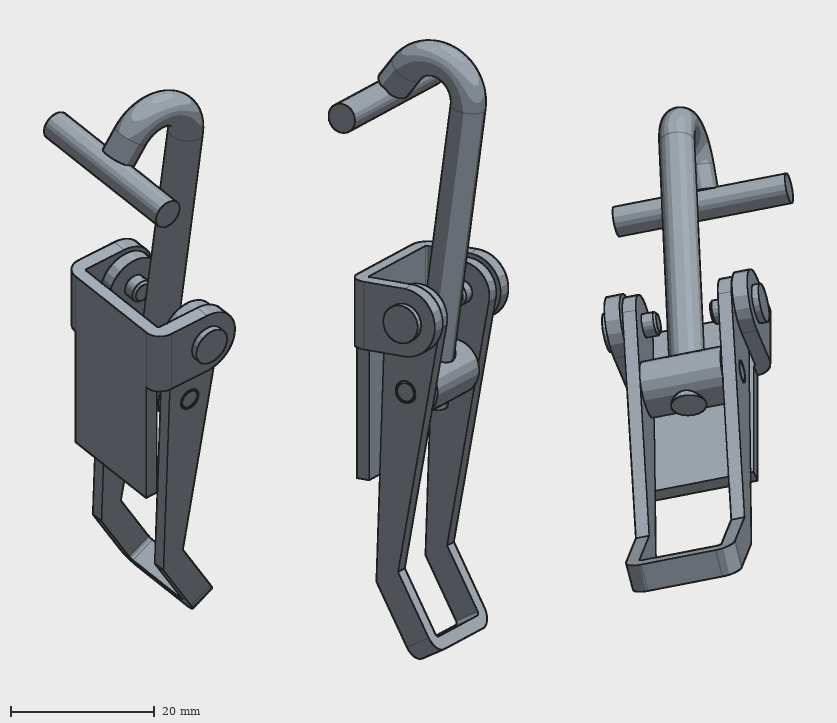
import cadquery as cq
import math


OVERALL_HEIGHT = 88.6
HOOK_TOP_Z = 38.1
TIP_Z = HOOK_TOP_Z - OVERALL_HEIGHT

SHEET = 1.95
BRACKET_WIDTH = 20.7
CHEEK_THICKNESS = 2.2
BRACKET_BEND_RADIUS = 2.5
CHEEK_RADIUS = 5.0
BRACKET_FRONT_Y = -8.95
PLATE_BOTTOM_Z = -24.9

LEVER_WIDTH = BRACKET_WIDTH - 2 * BRACKET_BEND_RADIUS
LEVER_GAP = LEVER_WIDTH - 2 * SHEET
LEVER_EYE_RADIUS = 4.4
LEVER_BEND_RADIUS = 2.5
CRANK_Y = -5.85
CRANK_Z = -39.5
CRANK_ANGLE = 29.0
CRANK_DEPTH = 4.0

PIN_HEAD_DIAMETER = 5.5
PIN_HEAD_HEIGHT = 1.0
PIN_SHAFT_DIAMETER = 3.4
PIN_INNER_X = 3.9
PIN_CHAMFER = 0.35

BARREL_Y = -1.15
BARREL_Z = -11.1
BARREL_RADIUS = 4.0
BARREL_LENGTH = 11.7
JOURNAL_DIAMETER = 3.2
JOURNAL_CHAMFER = 0.3
COUNTERSINK_DIAMETER = 6.6

ROD_DIAMETER = 5.0
ROD_TILT = 7.8
HOOK_RADIUS = 5.5
HOOK_TURN = 150.5
ROD_TAIL = 3.5
CROSSBAR_OFFSET = 5.5
CROSSBAR_DIAMETER = 4.25
CROSSBAR_LENGTH = 25.0

CLEAR = 88.6


def x_cylinder(diameter, x_start, x_end, y=0.0, z=0.0):
    """Cylinder along X between two X positions."""
    plane = cq.Workplane("YZ", origin=(x_start, y, z))
    return plane.circle(diameter / 2).extrude(x_end - x_start)


def tangent_point(radius, y, z, side):
    """Point where a line from (y, z) touches a circle about the origin; side +1 or -1 picks the line."""
    angle = math.atan2(z, y) + side * math.acos(radius / math.hypot(y, z))
    return radius * math.cos(angle), radius * math.sin(angle)


def make_bracket():
    inner_radius = BRACKET_BEND_RADIUS - CHEEK_THICKNESS
    depth = CHEEK_RADIUS - BRACKET_FRONT_Y
    mid_y = (CHEEK_RADIUS + BRACKET_FRONT_Y) / 2

    outer = cq.Workplane("XY").center(0, mid_y).rect(BRACKET_WIDTH, depth).extrude(CHEEK_RADIUS, both=True)
    outer = outer.edges("|Z and <Y").fillet(BRACKET_BEND_RADIUS)
    inner = cq.Workplane("XY").center(0, mid_y + SHEET)
    inner = inner.rect(BRACKET_WIDTH - 2 * CHEEK_THICKNESS, depth).extrude(CHEEK_RADIUS, both=True)
    inner = inner.edges("|Z and <Y").fillet(inner_radius)
    channel = outer.cut(inner)

    side = (
        cq.Workplane("YZ")
        .moveTo(BRACKET_FRONT_Y, -CHEEK_RADIUS)
        .lineTo(0, -CHEEK_RADIUS)
        .threePointArc((CHEEK_RADIUS, 0), (0, CHEEK_RADIUS))
        .lineTo(BRACKET_FRONT_Y, CHEEK_RADIUS)
        .close()
        .extrude(CLEAR, both=True)
    )
    channel = channel.intersect(side)

    plate = cq.Workplane("XY").box(
        LEVER_WIDTH, SHEET, CHEEK_RADIUS - PLATE_BOTTOM_Z, centered=(True, False, False)
    ).translate((0, BRACKET_FRONT_Y, PLATE_BOTTOM_Z))

    pivot_hole = x_cylinder(PIN_SHAFT_DIAMETER, -CLEAR, CLEAR)
    return channel.union(plate).cut(pivot_hole)


def make_lever():
    sine = math.sin(math.radians(CRANK_ANGLE))
    cosine = math.cos(math.radians(CRANK_ANGLE))
    back_y = CRANK_Y + CRANK_DEPTH * cosine
    back_z = CRANK_Z + CRANK_DEPTH * sine
    crank_length = (CRANK_Z - TIP_Z) / cosine
    tip_y = CRANK_Y + crank_length * sine

    profile = (
        cq.Workplane("YZ")
        .moveTo(tip_y, TIP_Z)
        .lineTo(CRANK_Y, CRANK_Z)
        .lineTo(*tangent_point(LEVER_EYE_RADIUS, CRANK_Y, CRANK_Z, -1))
        .threePointArc((0, LEVER_EYE_RADIUS), tangent_point(LEVER_EYE_RADIUS, back_y, back_z, 1))
        .lineTo(back_y, back_z)
        .lineTo(tip_y + CRANK_DEPTH * cosine, TIP_Z + CRANK_DEPTH * sine)
        .close()
        .extrude(LEVER_WIDTH / 2, both=True)
    )

    u_plane = cq.Plane(origin=(0, tip_y, TIP_Z), xDir=(1, 0, 0), normal=(0, -cosine, -sine))

    def rounded_block(width, base, radius):
        """Tall block on the U plane with rounded corners, its bottom at a given base height."""
        block = cq.Workplane(u_plane).center(0, base + CLEAR / 2).rect(width, CLEAR)
        block = block.extrude(CLEAR, both=True)
        return block.edges(cq.selectors.ParallelDirSelector(u_plane.zDir)).fillet(radius)

    outline = rounded_block(LEVER_WIDTH, 0, LEVER_BEND_RADIUS)
    slot = rounded_block(LEVER_GAP, SHEET, LEVER_BEND_RADIUS - SHEET)

    pivot_hole = x_cylinder(PIN_SHAFT_DIAMETER, -CLEAR, CLEAR)
    barrel_hole = x_cylinder(JOURNAL_DIAMETER, -CLEAR, CLEAR, BARREL_Y, BARREL_Z)
    return profile.intersect(outline).cut(slot).cut(pivot_hole).cut(barrel_hole)


def make_pin(side):
    """Headed pivot pin on the +X (side = 1) or -X (side = -1) cheek."""
    head_start = side * BRACKET_WIDTH / 2
    shaft = x_cylinder(PIN_SHAFT_DIAMETER, side * PIN_INNER_X, head_start)
    inner_face = "<X" if side > 0 else ">X"
    shaft = shaft.faces(inner_face).chamfer(PIN_CHAMFER)
    head = x_cylinder(PIN_HEAD_DIAMETER, head_start, head_start + side * PIN_HEAD_HEIGHT)
    return shaft.union(head)


def place_on_barrel(body):
    """Tilt a body built about Z at the origin onto the rod axis through the barrel."""
    return body.rotate((0, 0, 0), (1, 0, 0), -ROD_TILT).translate((0, BARREL_Y, BARREL_Z))


def make_barrel():
    body = x_cylinder(2 * BARREL_RADIUS, -BARREL_LENGTH / 2, BARREL_LENGTH / 2, BARREL_Y, BARREL_Z)
    journals = x_cylinder(JOURNAL_DIAMETER, -LEVER_WIDTH / 2, LEVER_WIDTH / 2, BARREL_Y, BARREL_Z)
    journals = journals.faces("<X or >X").chamfer(JOURNAL_CHAMFER)

    rod_radius = ROD_DIAMETER / 2
    sink_depth = COUNTERSINK_DIAMETER / 2 - rod_radius
    sink_start = cq.Vector(0, 0, BARREL_RADIUS - sink_depth)
    cone = cq.Solid.makeCone(rod_radius, COUNTERSINK_DIAMETER / 2, sink_depth, sink_start)
    bore = cq.Workplane("XY").circle(rod_radius).extrude(2 * BARREL_RADIUS, both=True)
    rod_hole = place_on_barrel(bore.union(cq.Workplane(obj=cone)))
    return body.union(journals).cut(rod_hole)


def make_hook():
    turn = math.radians(HOOK_TURN)
    tilt = math.radians(ROD_TILT)

    bend_centre_z = HOOK_TOP_Z - HOOK_RADIUS - ROD_DIAMETER / 2
    straight = (bend_centre_z - BARREL_Z - HOOK_RADIUS * math.sin(tilt)) / math.cos(tilt)

    def on_bend(angle):
        return -HOOK_RADIUS * (1 - math.cos(angle)), straight + HOOK_RADIUS * math.sin(angle)

    bend_end = on_bend(turn)

    def on_tail(distance):
        return bend_end[0] - distance * math.sin(turn), bend_end[1] + distance * math.cos(turn)

    path = (
        cq.Workplane("YZ")
        .moveTo(0, -BARREL_RADIUS)
        .lineTo(0, straight)
        .threePointArc(on_bend(turn / 2), bend_end)
        .lineTo(*on_tail(ROD_TAIL))
    )
    rod = cq.Workplane("XY", origin=(0, 0, -BARREL_RADIUS)).circle(ROD_DIAMETER / 2).sweep(path)

    bar_half = CROSSBAR_LENGTH / 2
    crossbar = x_cylinder(CROSSBAR_DIAMETER, -bar_half, bar_half, *on_tail(CROSSBAR_OFFSET))
    return place_on_barrel(rod.union(crossbar))


bracket = make_bracket()
lever = make_lever()
barrel = make_barrel()
hook = make_hook()
pins = [make_pin(side) for side in (-1, 1)]

result = cq.Compound.makeCompound(
    [bracket.val(), lever.val(), barrel.val(), hook.val(), *[pin.val() for pin in pins]]
)